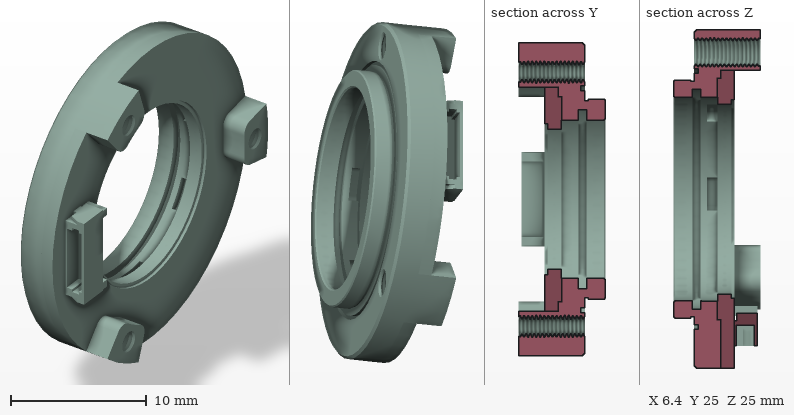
import cadquery as cq
import math


flange_front = 1.5
board_front = 3.5
board_back = 4.5
board_seat = 3.22
lug_back = 6.4

outer_radius = 12.5
flange_chamfer = 0.2
spigot_radius = 8.8
spigot_chamfer = 0.1
neck_radius = 8.7
neck_length = 0.2
bore_radius = 7.5
bore_groove_radius = 8.1
bore_groove_front = 1.4
bore_groove_back = 2.0
face_groove_inner_radius = 9.3
face_groove_outer_radius = 9.6
face_groove_depth = 0.3

lug_angles = (0, 120, 240)
lug_half_width = 2.312
lug_inner_radius = 9.5
lug_fillet = 0.9
rim_clearance = 0.5
hole_circle_radius = 10.82
thread_minor_radius = 0.82
thread_major_radius = 1.05
thread_pitch = 0.3

slot_middle_angle = -31
slot_step_angle = 56
slot_angles = [slot_middle_angle + step * slot_step_angle for step in (-1, 0, 1)]
slot_half_angle = 9.3
slot_outer_radius = 8.15
slot_depth = 0.75
slot_corner = 0.38

board_bore_radius = 7.0
board_recess_radius = 7.3
board_recess_depth = 0.22
register_radius = 8.9

connector_back = 6.18
connector_half_width = 3.5
connector_mouth_y = -10.82
connector_rear_y = -8.38
underside_gap = 0.15
underside_gap_start_y = -8.92
mouth_half_width = 2.55
mouth_front = board_back + 0.12
mouth_back = board_back + 1.42
mouth_depth = 1.5
key_half_width = 2.78
key_front = board_back + 0.6
key_back = board_back + 1.2
end_notch_width = 0.3
end_notch_step = 0.28
end_notch_top = board_back + 1.05
end_notch_inner_y = -9.78
end_notch_slope_y = -10.42

tab_width = 0.6
tab_inset = 0.1
tab_thickness = 0.5
foot_front_y = -8.62


def polar(radius, angle):
    """Point (Y, Z) at a radius and an angle around the axis."""
    return radius * math.cos(math.radians(angle)), radius * math.sin(math.radians(angle))


def ring(inner_radius, outer_radius, start, end):
    """Plain ring around the X axis between two X stations."""
    return (
        cq.Workplane("YZ", origin=(start, 0, 0))
        .circle(outer_radius)
        .circle(inner_radius)
        .extrude(end - start)
    )


def sector(inner_radius, outer_radius, half_angle, start, end):
    """Block with radial sides and concentric inner and outer faces, centred on +Y."""
    return (
        cq.Workplane("YZ", origin=(start, 0, 0))
        .moveTo(*polar(inner_radius, -half_angle))
        .lineTo(*polar(outer_radius, -half_angle))
        .threePointArc((outer_radius, 0), polar(outer_radius, half_angle))
        .lineTo(*polar(inner_radius, half_angle))
        .threePointArc((inner_radius, 0), polar(inner_radius, -half_angle))
        .close()
        .extrude(end - start)
    )


def turned(shape, angle):
    """Copy of a shape turned around the X axis."""
    return shape.rotate((0, 0, 0), (1, 0, 0), angle)


def box(x_range, y_range, z_range):
    """Block between pairs of limits along each axis."""
    sizes = [high - low for low, high in (x_range, y_range, z_range)]
    corner = (x_range[0], y_range[0], z_range[0])
    return cq.Workplane("XY").box(*sizes, centered=False).translate(corner)


def make_lug():
    half_angle = math.degrees(math.asin(lug_half_width / outer_radius))
    lug = sector(lug_inner_radius, outer_radius + rim_clearance, half_angle, board_front, lug_back)
    inner_edges = cq.selectors.BoxSelector(
        (board_front, 0, -lug_half_width),
        (lug_back, lug_inner_radius, lug_half_width),
    )
    return lug.edges("|X").edges(inner_edges).fillet(lug_fillet)


def make_threaded_hole():
    length = lug_back - flange_front
    turns = int(length / thread_pitch)
    profile = cq.Workplane("XY").moveTo(flange_front, 0).lineTo(flange_front, thread_major_radius)
    for turn in range(turns):
        groove_start = flange_front + turn * thread_pitch
        profile = profile.lineTo(groove_start + thread_pitch / 2, thread_minor_radius)
        profile = profile.lineTo(groove_start + thread_pitch, thread_major_radius)
    profile = profile.lineTo(lug_back, thread_minor_radius).lineTo(lug_back, 0).close()
    hole = profile.revolve(360, (0, 0, 0), (1, 0, 0))
    return hole.translate((0, hole_circle_radius, 0))


def make_slot():
    inside_bore = bore_radius - 2 * slot_corner
    slot = sector(
        inside_bore, slot_outer_radius, slot_half_angle, board_seat - slot_depth, board_seat
    )
    outer_edges = cq.selectors.BoxSelector(
        (0, bore_radius, -outer_radius),
        (board_seat, outer_radius, outer_radius),
    )
    return slot.edges("|X").edges(outer_edges).fillet(slot_corner)


def make_mount():
    neck_start = flange_front - neck_length
    profile = [
        (0, bore_radius + spigot_chamfer),
        (0, spigot_radius - spigot_chamfer),
        (spigot_chamfer, spigot_radius),
        (neck_start, spigot_radius),
        (neck_start, neck_radius),
        (flange_front, neck_radius),
        (flange_front, outer_radius - flange_chamfer),
        (flange_front + flange_chamfer, outer_radius),
        (lug_back, outer_radius),
        (lug_back, register_radius),
        (board_seat, register_radius),
        (board_seat, bore_radius),
        (bore_groove_back, bore_radius),
        (bore_groove_back, bore_groove_radius),
        (bore_groove_front, bore_groove_radius),
        (bore_groove_front, bore_radius),
        (spigot_chamfer, bore_radius),
    ]
    mount = cq.Workplane("XY").polyline(profile).close().revolve(360, (0, 0, 0), (1, 0, 0))
    mount = mount.cut(
        ring(
            face_groove_inner_radius,
            face_groove_outer_radius,
            flange_front,
            flange_front + face_groove_depth,
        )
    )
    between_lugs = ring(
        register_radius - rim_clearance, outer_radius + rim_clearance, board_front, lug_back
    )
    for angle in lug_angles:
        between_lugs = between_lugs.cut(turned(make_lug(), angle))
    mount = mount.cut(between_lugs)
    for angle in lug_angles:
        mount = mount.cut(turned(make_threaded_hole(), angle))
    for angle in slot_angles:
        mount = mount.cut(turned(make_slot(), angle))
    return mount


def make_board():
    profile = [
        (board_seat, board_bore_radius),
        (board_seat, register_radius),
        (board_front, register_radius),
        (board_front, outer_radius),
        (board_back, outer_radius),
        (board_back, board_recess_radius),
        (board_back - board_recess_depth, board_recess_radius),
        (board_back - board_recess_depth, board_bore_radius),
    ]
    board = cq.Workplane("XY").polyline(profile).close().revolve(360, (0, 0, 0), (1, 0, 0))
    for angle in lug_angles:
        board = board.cut(turned(make_lug(), angle))
    return board


def make_end_notch():
    profile = [
        (board_back, connector_mouth_y),
        (board_back, end_notch_inner_y),
        (board_back + end_notch_step, end_notch_inner_y),
        (board_back + end_notch_step, end_notch_slope_y),
        (end_notch_top, connector_mouth_y),
    ]
    notch = cq.Workplane("XY").polyline(profile).close().extrude(end_notch_width)
    return notch.translate((0, 0, connector_half_width - end_notch_width))


def make_connector():
    width = (-connector_half_width, connector_half_width)
    mouth = (connector_mouth_y, connector_mouth_y + mouth_depth)
    connector = box((board_back, connector_back), (connector_mouth_y, connector_rear_y), width)
    connector = connector.cut(
        box((board_back, board_back + underside_gap), (underside_gap_start_y, connector_rear_y), width)
    )
    connector = connector.cut(
        box((mouth_front, mouth_back), mouth, (-mouth_half_width, mouth_half_width))
    )
    connector = connector.cut(box((key_front, key_back), mouth, (-key_half_width, key_half_width)))
    end_notch = make_end_notch()
    return connector.cut(end_notch).cut(end_notch.mirror("XY"))


def make_tab(side):
    outer_z = side * (connector_half_width - tab_inset)
    z_range = sorted((outer_z, outer_z - side * tab_width))
    rear_y = connector_rear_y + tab_thickness
    upright = box((board_back, connector_back), (connector_rear_y, rear_y), z_range)
    foot = box((board_back, board_back + underside_gap), (foot_front_y, rear_y), z_range)
    return upright.union(foot)


mount = make_mount()
board = make_board()
connector = make_connector()
tabs = [make_tab(side) for side in (-1, 1)]

result = cq.Compound.makeCompound(
    [mount.val(), board.val(), connector.val(), *[tab.val() for tab in tabs]]
)